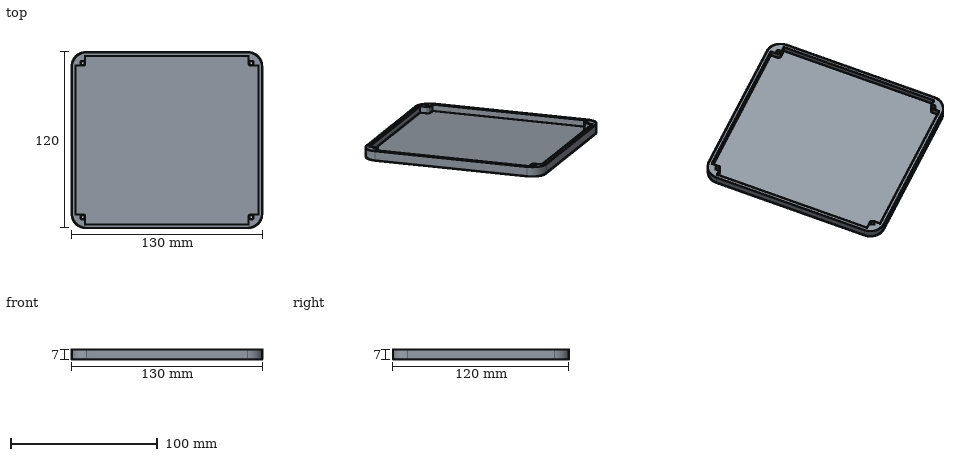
import cadquery as cq

length = 130.0
width = 120.0
height = 7.0
corner_radius = 10.0
bottom_edge_radius = 1.0

wall = 2.5
floor = 2.5
pocket_depth = height - floor
cavity_length = length - 2 * wall
cavity_width = width - 2 * wall

hole_diameter = 2.8
hole_inset = 7.5
post_radius = 1.8
post_reach = hole_inset + post_radius - wall


def make_body():
    """Plate with rounded corners and a rounded bottom edge."""
    plate = cq.Workplane("XY").box(length, width, height, centered=(True, True, False))
    plate = plate.edges("|Z").fillet(corner_radius)
    return plate.faces("<Z").edges().fillet(bottom_edge_radius)


def make_posts():
    """Square posts centred on the cavity corners, with rounded vertical edges."""
    return (
        cq.Workplane("XY", origin=(0, 0, floor))
        .rect(cavity_length, cavity_width, forConstruction=True)
        .vertices()
        .rect(2 * post_reach, 2 * post_reach)
        .extrude(pocket_depth)
        .edges("|Z")
        .fillet(post_radius)
    )


def make_pocket():
    """Interior cavity, notched at each corner so that a post is left standing."""
    cavity = cq.Workplane("XY", origin=(0, 0, floor)).rect(cavity_length, cavity_width).extrude(pocket_depth)
    return cavity.cut(make_posts())


def make_screw_holes():
    """Through hole in each corner post, concentric with the post's rounded edge."""
    return (
        cq.Workplane("XY")
        .rect(length - 2 * hole_inset, width - 2 * hole_inset, forConstruction=True)
        .vertices()
        .circle(hole_diameter / 2)
        .extrude(height)
    )


result = make_body().cut(make_pocket()).cut(make_screw_holes())